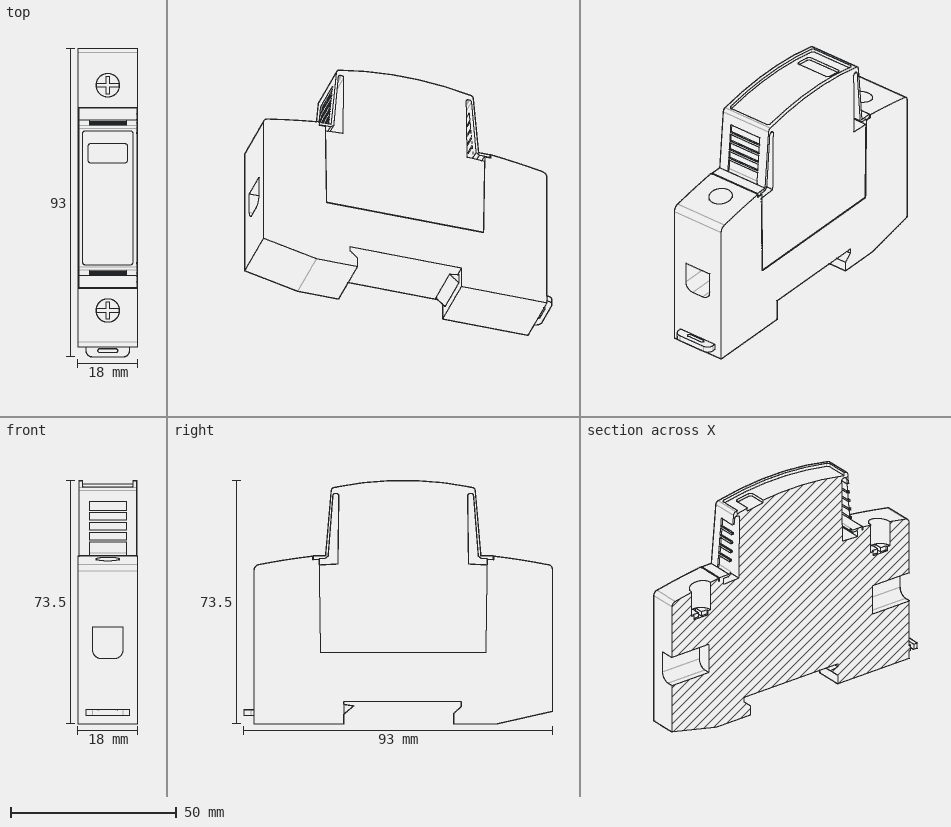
import cadquery as cq
import math


housing_width = 18.0
housing_half_length = 45.0
housing_crown_height = 52.3
housing_end_height = 47.8
front_corner_radius = 1.95
rear_corner_radius = 1.5
rear_slope_height = 3.8
rear_slope_end_y = 28.2

channel_height = 6.8
channel_front_y = -17.9
channel_rear_y = 17.5
hook_lip_y = 15.2
hook_lip_height = 3.2
hook_root_height = 5.3

clip_width = 13.2
clip_bottom = 2.5
clip_top = 4.4
clip_reach = 3.0
clip_corner_radius = 2.0
clip_slot_length = 5.95
clip_slot_width = 1.1
clip_slot_offset = 1.0
latch_tip_y = -14.9
latch_tip_height = 5.5
latch_top = 5.95
latch_bottom = 3.0

cartridge_width = 17.5
cartridge_bottom = 21.6
cartridge_bottom_half_length = 24.9
cartridge_shoulder_half_length = 25.3
flange_half_length = 27.1
flange_clearance = 0.2
flange_bottom = 49.6
flange_top = 50.8
wall_foot_y = 23.4
cover_half_length = 21.7
cover_shoulder_height = 71.1
crown_height = 73.5
cover_corner_radius = 1.1

gap_top = 69.5
gap_top_radius = 0.65
gap_inner_top_y = 19.4
gap_inner_foot_y = 19.7
gap_outer_top_y = 21.1
gap_outer_foot_y = 22.6
gap_foot_height = 50.6
gap_flange_y = 23.6
gap_flange_height = 49.85
gap_floor_inner = 48.3
gap_floor_outer = 48.0

recess_width = 15.2
recess_half_length = 20.2
recess_corner_radius = 0.7
recess_depth = 1.0
window_width = 12.0
window_front_y = 10.5
window_rear_y = 16.4
window_corner_radius = 0.9
window_depth = 0.9

grip_width = 11.2
grip_top = 67.05
grip_depth = 0.6
grip_foot_radius = 0.7
rib_count = 4
rib_pitch = 3.0
rib_height = 0.65

screw_y = 33.9
well_diameter = 7.1
well_floor = 40.9
screw_slot_width = 1.1
screw_slot_length = 6.9
screw_cross_length = 5.2
screw_slot_depth = 1.4
entry_width = 9.2
entry_bottom = 19.7
entry_top = 29.2
entry_corner_radius = 2.7
entry_depth = 13.95

crown_radius = (cover_half_length**2 + (crown_height - cover_shoulder_height) ** 2) / (
    2 * (crown_height - cover_shoulder_height)
)


def extrude_across(profile, width):
    """Extrude a closed YZ profile symmetrically about X = 0."""
    return profile.extrude(width / 2, both=True)


def yz_polygon(points, width):
    return extrude_across(cq.Workplane("YZ").polyline(points).close(), width)


def both_ends(solid):
    """A feature together with its mirror image at the other end of the part."""
    return solid.union(solid.mirror("XZ"))


def crown_z(y, depth=0.0):
    """Height of the crown arc, offset inward by depth, at position y."""
    return crown_height - crown_radius + math.sqrt((crown_radius - depth) ** 2 - y**2)


def crown_arc(profile, depth=0.0):
    """Append the crown arc, offset inward by depth, running from +Y to -Y."""
    end = (-cover_half_length, crown_z(cover_half_length, depth))
    return profile.threePointArc((0, crown_z(0, depth)), end)


def wall_y(z):
    """Outer face of the sloping spring wall, measured from mid-length."""
    slope = (wall_foot_y - cover_half_length) / (cover_shoulder_height - flange_top)
    return wall_foot_y - slope * (z - flange_top)


def make_housing():
    outline = (
        cq.Workplane("YZ")
        .moveTo(-housing_half_length, 0)
        .lineTo(channel_front_y, 0)
        .lineTo(channel_front_y, channel_height)
        .lineTo(channel_rear_y, channel_height)
        .lineTo(channel_rear_y, hook_root_height)
        .lineTo(hook_lip_y, hook_lip_height)
        .lineTo(hook_lip_y, 0)
        .lineTo(rear_slope_end_y, 0)
        .lineTo(housing_half_length, rear_slope_height)
        .lineTo(housing_half_length, housing_end_height)
        .threePointArc((0, housing_crown_height), (-housing_half_length, housing_end_height))
        .close()
    )
    housing = extrude_across(outline, housing_width)
    housing = housing.edges("|X and >Y").edges(">Z").fillet(rear_corner_radius)
    housing = housing.edges("|X and <Y").edges(">Z").fillet(front_corner_radius)

    seat_half_length = flange_half_length + flange_clearance
    seat = [
        (cartridge_bottom_half_length, cartridge_bottom),
        (cartridge_shoulder_half_length, gap_floor_outer),
        (cartridge_shoulder_half_length, flange_bottom),
        (seat_half_length, flange_bottom),
        (seat_half_length, crown_height),
    ]
    mirrored_seat = [(-y, z) for y, z in reversed(seat)]
    return housing.cut(yz_polygon(seat + mirrored_seat, housing_width))


def make_cartridge():
    side = [
        (cartridge_bottom_half_length, cartridge_bottom),
        (cartridge_shoulder_half_length, gap_floor_outer),
        (cartridge_shoulder_half_length, flange_bottom),
        (flange_half_length, flange_bottom),
        (flange_half_length, flange_top),
        (wall_foot_y, flange_top),
        (cover_half_length, cover_shoulder_height),
    ]
    outline = crown_arc(cq.Workplane("YZ").polyline(side))
    for y, z in reversed(side[:-1]):
        outline = outline.lineTo(-y, z)
    cartridge = extrude_across(outline.close(), cartridge_width)
    shoulder_box = cq.selectors.BoxSelector(
        (-cartridge_width, -housing_half_length, cover_shoulder_height - cover_corner_radius),
        (cartridge_width, housing_half_length, cover_shoulder_height + cover_corner_radius),
    )
    return cartridge.edges("|X").edges(shoulder_box).fillet(cover_corner_radius)


def make_gaps():
    gap = yz_polygon(
        [
            (gap_inner_foot_y, gap_floor_inner),
            (gap_inner_top_y, gap_top),
            (gap_outer_top_y, gap_top),
            (gap_outer_foot_y, gap_foot_height),
            (gap_flange_y, gap_flange_height),
            (cartridge_shoulder_half_length, gap_flange_height),
            (cartridge_shoulder_half_length, gap_floor_outer),
        ],
        housing_width,
    )
    return both_ends(gap.edges("|X and >Z").fillet(gap_top_radius))


def make_crown_pocket(width, front_y, rear_y, corner_radius, depth):
    """Rounded rectangular pocket whose floor follows the crown."""
    column = (
        cq.Workplane("XY", origin=(0, (front_y + rear_y) / 2, flange_top))
        .rect(width, rear_y - front_y)
        .extrude(crown_height - flange_top)
        .edges("|Z")
        .fillet(corner_radius)
    )
    floor_profile = (
        cq.Workplane("YZ")
        .moveTo(cover_half_length, flange_top)
        .lineTo(cover_half_length, crown_z(cover_half_length, depth))
    )
    floor_profile = crown_arc(floor_profile, depth).lineTo(-cover_half_length, flange_top).close()
    return column.cut(extrude_across(floor_profile, housing_width))


def make_grips():
    """Finger recesses with a hollow foot, the ribs lying flush with the spring walls."""
    foot_z = flange_top + grip_foot_radius
    foot_y = wall_y(foot_z) - grip_depth
    arc_inset = grip_foot_radius * (1 - math.sqrt(0.5))
    profile = (
        cq.Workplane("YZ")
        .moveTo(wall_y(grip_top), grip_top)
        .lineTo(wall_y(grip_top) - grip_depth, grip_top)
        .lineTo(foot_y, foot_z)
        .threePointArc((foot_y + arc_inset, flange_top + arc_inset), (foot_y + grip_foot_radius, flange_top))
        .close()
    )
    recess = extrude_across(profile, grip_width)
    for index in range(rib_count):
        rib_z = grip_top - (index + 1) * rib_pitch
        rib = cq.Workplane("XY", origin=(0, wall_foot_y, rib_z)).box(
            grip_width, wall_foot_y - gap_inner_foot_y, rib_height
        )
        recess = recess.cut(rib)
    return both_ends(recess)


def make_screw_wells():
    """Round screw wells with a crossed driver slot in each screw head."""
    floor = cq.Workplane("XY", origin=(0, screw_y, well_floor))
    well = floor.circle(well_diameter / 2).extrude(housing_crown_height - well_floor)
    slot = floor.rect(screw_slot_length, screw_slot_width).extrude(-screw_slot_depth)
    cross = floor.rect(screw_slot_width, screw_cross_length).extrude(-screw_slot_depth)
    return both_ends(well.union(slot).union(cross))


def make_wire_entries():
    entry = (
        cq.Workplane("XY", origin=(0, entry_depth / 2 - housing_half_length, entry_bottom))
        .box(entry_width, entry_depth, entry_top - entry_bottom, centered=(True, True, False))
        .edges("|Y and <Z")
        .fillet(entry_corner_radius)
    )
    return both_ends(entry)


def make_clip():
    """Slotted pull tab at the front and the latch tooth in the rail channel."""
    tab_plane = cq.Workplane("XY", origin=(0, -housing_half_length, clip_bottom))
    thickness = clip_top - clip_bottom
    tab = (
        tab_plane.center(0, -clip_reach / 2)
        .rect(clip_width, clip_reach)
        .extrude(thickness)
        .edges("|Z and <Y")
        .fillet(clip_corner_radius)
    )
    slot_plane = tab_plane.center(0, -clip_slot_offset)
    slot = slot_plane.slot2D(clip_slot_length, clip_slot_width).extrude(thickness)
    tooth = yz_polygon(
        [
            (channel_front_y, latch_bottom),
            (latch_tip_y, latch_tip_height),
            (channel_front_y, latch_top),
        ],
        clip_width,
    )
    return tab.cut(slot).union(tooth)


recess = make_crown_pocket(
    recess_width, -recess_half_length, recess_half_length, recess_corner_radius, recess_depth
)
window = make_crown_pocket(
    window_width, window_front_y, window_rear_y, window_corner_radius, recess_depth + window_depth
)
cartridge = make_cartridge().cut(make_gaps()).cut(make_grips()).cut(recess).cut(window)
housing = make_housing().cut(make_screw_wells()).cut(make_wire_entries())
result = housing.union(cartridge).union(make_clip())